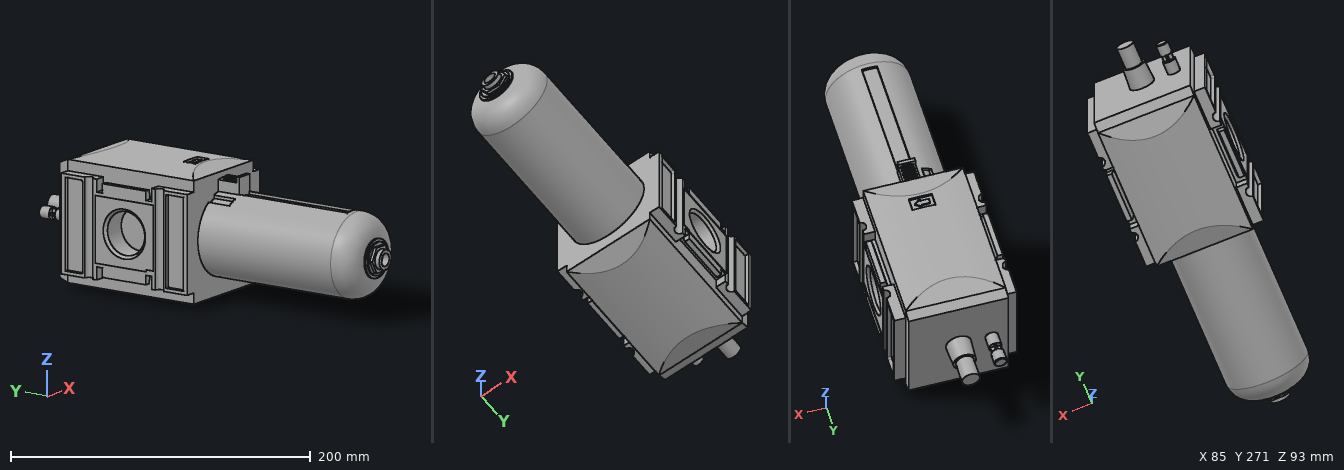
import cadquery as cq
import math


block_length = 102.5
mid_y = block_length / 2
core_half_width = 34.7
core_half_height = 42.5
dome_half_height = 46.5
dome_end_slope_length = 15.2

pad_half_height = 34.7
pad_face_x = 42.5
groove_diameter = 6.8
groove_offset = 28.7
panel_length = 14.4
panel_height = 64.5
panel_depth = 3.0
panel_corner_radius = 1.4
panel_offset = 41.0

gap_length = 44.7
gap_floor_z = 25.7
lip_length = 35.2
lip_top_z = 32.2
lip_back_x = 38.8
lip_foot_x = 37.0

port_seat_length = 47.2
port_seat_height = 46.5
seat_step_length = 5.7
seat_step_height = 1.4
port_seat_depth = 0.3
port_diameter = 30.4
port_mouth_diameter = 34.5
port_chamfer = (port_mouth_diameter - port_diameter) / 2
port_depth = 18.5

window_y = 22.2
window_length = 16.0
window_width = 9.2
window_floor_z = 44.7
arrow_height = 1.0
arrow_half_length = 5.1
arrow_neck_x = 0.8
arrow_shaft_half_width = 1.5
arrow_head_half_width = 3.3

cap_thickness = 6.8
cap_end_half_height = 39.8
back_y = block_length + cap_thickness

outlet_base_diameter = 17.5
outlet_shoulder_diameter = 15.7
outlet_shoulder_length = 15.0
outlet_tip_diameter = 12.5
outlet_length = 30.0
pin_x = -23.0
pin_diameter = 9.0
pin_base_length = 9.0
pin_neck_length = 5.0
pin_head_length = 8.5
pin_head_chamfer = 0.5
pin_neck_span = 7.0
pin_neck_web = 1.4

bowl_diameter = 60.0
bowl_radius = bowl_diameter / 2
bowl_end_radius = 16.0
bowl_length = 123.8
window_groove_width = 10.5
window_groove_length = 104.3
recess_depth = 2.03
recess_floor_radius = bowl_radius - recess_depth
key_slot_length = 17.0
key_slot_inner_x = -11.0
key_slot_outer_x = -17.5
key_slot_floor_x = -16.0

drain_disc_diameter = 27.0
drain_disc_end = 125.0
drain_step_diameter = 23.0
drain_step_end = 126.0
drain_hex_corners = 20.3
drain_hex_end = 128.2
drain_nozzle_diameter = 14.0
drain_nozzle_end = 131.7
drain_hole_diameter = 9.0
drain_hole_depth = 5.5

latch_width = 12.0
latch_length = 17.0
latch_root_z = 27.0
latch_bed_z = 37.5
latch_crown_height = 0.8
latch_wall_z = 41.5
latch_wall_thickness = 2.5
tooth_count = 5
tooth_pitch = 2.65
first_tooth_y = -3.5
tooth_thickness = 1.0
tooth_width = 9.8
tooth_height = 2.5


def box(x_min, x_max, y_min, y_max, z_min, z_max):
    """Box between the given limits."""
    size = (x_max - x_min, y_max - y_min, z_max - z_min)
    return cq.Workplane("XY").box(*size, centered=False).translate((x_min, y_min, z_min))


def y_plane(y, x=0):
    """Workplane facing +Y, with its origin at (x, y, 0)."""
    return cq.Workplane("XZ", origin=(x, y, 0)).transformed(rotate=(180, 0, 0))


def y_cylinder(diameter, y_min, y_max, x=0):
    """Round bar along Y between two Y values."""
    return y_plane(y_min, x).circle(diameter / 2).extrude(y_max - y_min)


def both_x_sides(shape):
    """The shape together with its mirror image across the YZ plane."""
    return shape.union(shape.mirror("YZ"))



def make_block():
    """Block with domed top and bottom, each dome sloping down at both ends."""
    section = (
        cq.Workplane("XZ")
        .moveTo(-core_half_width, -core_half_height)
        .threePointArc((0, -dome_half_height), (core_half_width, -core_half_height))
        .lineTo(core_half_width, core_half_height)
        .threePointArc((0, dome_half_height), (-core_half_width, core_half_height))
        .close()
        .extrude(-block_length)
    )
    upper_edge = [
        (0, core_half_height),
        (dome_end_slope_length, dome_half_height),
        (block_length - dome_end_slope_length, dome_half_height),
        (block_length, core_half_height),
    ]
    lower_edge = [(y, -z) for y, z in reversed(upper_edge)]
    side_outline = (
        cq.Workplane("YZ").polyline(upper_edge + lower_edge).close().extrude(core_half_width, both=True)
    )
    return section.intersect(side_outline)


def make_lip():
    """Clamp lip standing in the upper gap of the +X pad, with a sloping back."""
    return (
        cq.Workplane("XZ", origin=(0, mid_y + lip_length / 2, 0))
        .polyline([
            (lip_foot_x, gap_floor_z),
            (pad_face_x, gap_floor_z),
            (pad_face_x, lip_top_z),
            (lip_back_x, lip_top_z),
        ])
        .close()
        .extrude(lip_length)
    )


def make_pad():
    """Mounting pad on the +X side, with grooves, sunk panels, gaps and lips."""
    pad = box(core_half_width, pad_face_x, 0, block_length, -pad_half_height, pad_half_height)
    for side in (-1, 1):
        groove = (
            cq.Workplane("XY")
            .center(pad_face_x, mid_y + side * groove_offset)
            .circle(groove_diameter / 2)
            .extrude(pad_half_height, both=True)
        )
        panel = cq.Workplane("XY").box(2 * panel_depth, panel_length, panel_height)
        groove_side = "<Y" if side > 0 else ">Y"
        panel = panel.faces(groove_side).edges("|X").fillet(panel_corner_radius)
        pad = pad.cut(groove)
        pad = pad.cut(panel.translate((pad_face_x, mid_y + side * panel_offset, 0)))

    gap = box(
        core_half_width, pad_face_x,
        mid_y - gap_length / 2, mid_y + gap_length / 2,
        gap_floor_z, pad_half_height,
    )
    lip = make_lip()
    pad = pad.cut(gap).cut(gap.mirror("XY"))
    return pad.union(lip).union(lip.mirror("XY"))


def make_port():
    """Material removed for the +X port: shallow seat with one stepped corner, chamfered mouth and blind bore."""
    seat = cq.Workplane("XY").box(2 * port_seat_depth, port_seat_length, port_seat_height)
    seat_corner_y = -port_seat_length / 2
    seat_corner_z = -port_seat_height / 2
    corner_step = box(
        -port_seat_depth, port_seat_depth,
        seat_corner_y, seat_corner_y + seat_step_length,
        seat_corner_z, seat_corner_z + seat_step_height,
    )
    seat = seat.cut(corner_step)
    seat_x = pad_face_x - port_seat_depth
    bottom_x = pad_face_x - port_depth
    mouth_radius = port_mouth_diameter / 2
    bore_radius = port_diameter / 2
    bore = (
        cq.Workplane("XY")
        .polyline([
            (bottom_x, 0),
            (bottom_x, bore_radius),
            (seat_x - port_chamfer, bore_radius),
            (seat_x, mouth_radius),
            (seat_x, 0),
        ])
        .close()
        .revolve(360, (0, 0, 0), (1, 0, 0))
    )
    return seat.translate((pad_face_x, 0, 0)).union(bore).translate((0, mid_y, 0))


def make_arrow_window():
    """Material removed for the window, leaving the arrow standing on its floor."""
    window = box(
        -window_length / 2, window_length / 2,
        window_y - window_width / 2, window_y + window_width / 2,
        window_floor_z, dome_half_height,
    )
    upper_edge = [
        (-arrow_half_length, arrow_shaft_half_width),
        (arrow_neck_x, arrow_shaft_half_width),
        (arrow_neck_x, arrow_head_half_width),
        (arrow_half_length, 0),
    ]
    lower_edge = [(x, -y) for x, y in reversed(upper_edge[:-1])]
    arrow = (
        cq.Workplane("XY", origin=(0, window_y, window_floor_z))
        .polyline(upper_edge + lower_edge)
        .close()
        .extrude(arrow_height)
    )
    return window.cut(arrow)



def make_bowl_shell():
    """Round bowl with a rounded closed end, a long groove on top and a short key slot beside it."""
    shell = y_cylinder(bowl_diameter, -bowl_length, 0).faces("<Y").edges().fillet(bowl_end_radius)
    floor_core = y_cylinder(2 * recess_floor_radius, -bowl_length, 0)
    window_groove = box(
        -window_groove_width / 2, window_groove_width / 2,
        -window_groove_length, 0,
        0, bowl_radius,
    )
    outer_edge_z = math.sqrt(bowl_radius**2 - key_slot_outer_x**2)
    floor_edge_z = math.sqrt(recess_floor_radius**2 - key_slot_floor_x**2)
    key_slot = (
        cq.Workplane("XZ")
        .polyline([
            (key_slot_inner_x, 0),
            (key_slot_inner_x, bowl_radius),
            (key_slot_outer_x, bowl_radius),
            (key_slot_outer_x, outer_edge_z),
            (key_slot_floor_x, floor_edge_z),
            (key_slot_floor_x, 0),
        ])
        .close()
        .extrude(key_slot_length)
    )
    recesses = window_groove.union(key_slot).cut(floor_core)
    return shell.cut(recesses)


def make_drain():
    """Stepped drain fitting with a hexagon and a nozzle."""
    disc = y_cylinder(drain_disc_diameter, -drain_disc_end, -bowl_length)
    step = y_cylinder(drain_step_diameter, -drain_step_end, -drain_disc_end)
    hexagon = (
        y_plane(-drain_hex_end).polygon(6, drain_hex_corners).extrude(drain_hex_end - drain_step_end)
    )
    nozzle = y_cylinder(drain_nozzle_diameter, -drain_nozzle_end, -drain_hex_end)
    hole = y_cylinder(drain_hole_diameter, -drain_nozzle_end, drain_hole_depth - drain_nozzle_end)
    return disc.union(step).union(hexagon).union(nozzle).cut(hole)


def make_latch():
    """Latch block with a crowned top, a raised end wall and a row of arched grip teeth."""
    half_width = latch_width / 2
    wall_y = -latch_length + latch_wall_thickness
    bed = (
        cq.Workplane("XZ")
        .moveTo(-half_width, latch_root_z)
        .lineTo(half_width, latch_root_z)
        .lineTo(half_width, latch_bed_z)
        .threePointArc((0, latch_bed_z + latch_crown_height), (-half_width, latch_bed_z))
        .close()
        .extrude(latch_length)
    )
    wall = box(-half_width, half_width, -latch_length, wall_y, latch_bed_z, latch_wall_z)
    latch = bed.union(wall)
    for index in range(tooth_count):
        center_y = first_tooth_y - index * tooth_pitch
        tooth = (
            cq.Workplane("XZ", origin=(0, center_y + tooth_thickness / 2, latch_bed_z))
            .moveTo(-tooth_width / 2, 0)
            .threePointArc((0, tooth_height), (tooth_width / 2, 0))
            .close()
            .extrude(tooth_thickness)
        )
        latch = latch.union(tooth)
    return latch


def make_bowl():
    """Complete bowl with its drain and latch."""
    return make_bowl_shell().union(make_drain()).union(make_latch())



def make_cap_plate():
    """Plate with the block's width, narrowing in height toward the back."""
    return (
        cq.Workplane("YZ")
        .polyline([
            (block_length, -core_half_height),
            (back_y, -cap_end_half_height),
            (back_y, cap_end_half_height),
            (block_length, core_half_height),
        ])
        .close()
        .extrude(core_half_width, both=True)
    )


def make_outlet():
    """Tapered outlet with a straight tip, in the middle of the cap."""
    shoulder_y = back_y + outlet_shoulder_length
    tip_y = back_y + outlet_length
    return (
        cq.Workplane("XY")
        .polyline([
            (0, back_y),
            (outlet_base_diameter / 2, back_y),
            (outlet_shoulder_diameter / 2, shoulder_y),
            (outlet_tip_diameter / 2, shoulder_y),
            (outlet_tip_diameter / 2, tip_y),
            (0, tip_y),
        ])
        .close()
        .revolve(360, (0, 0, 0), (0, 1, 0))
    )


def make_pin():
    """Pin beside the outlet: round base, cross-shaped neck and round head."""
    neck_y = back_y + pin_base_length
    head_y = neck_y + pin_neck_length
    base = y_cylinder(pin_diameter, back_y, neck_y, pin_x)
    head = y_cylinder(pin_diameter, head_y, head_y + pin_head_length, pin_x)
    head = head.faces(">Y").chamfer(pin_head_chamfer)
    neck = (
        y_plane(neck_y, pin_x).rect(pin_neck_span, pin_neck_web).extrude(pin_neck_length)
        .union(y_plane(neck_y, pin_x).rect(pin_neck_web, pin_neck_span).extrude(pin_neck_length))
    )
    return base.union(neck).union(head)



def make_housing():
    """Complete housing: block with pads and ports, and the bowl on its front face."""
    port = make_port()
    return (
        make_block()
        .union(both_x_sides(make_pad()))
        .cut(port)
        .cut(port.mirror("YZ"))
        .cut(make_arrow_window())
        .union(make_bowl())
    )


def make_cap():
    """Complete cap: plate with its outlet and pin."""
    return make_cap_plate().union(make_outlet()).union(make_pin())


housing = make_housing()
cap = make_cap()
result = cq.Compound.makeCompound([housing.val(), cap.val()])